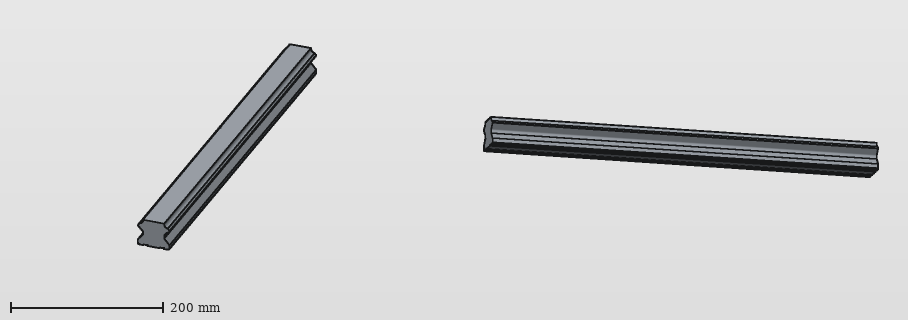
import cadquery as cq

rail_width = 45.0
rail_length = 525.0
rail_height = 38.0

head_half_width = 15.0
lip_height = 0.9
raceway_sag = 1.3
shoulder_half_width = 20.0
shoulder_height = 31.5
nose_height = 28.3
nose_flat = 0.6

waist_half_width = 15.0
waist_top_height = 20.5
waist_bottom_height = 15.8
waist_fillet = 2.5

foot_side_height = 7.2
foot_chamfer = 1.5

relief_inner_half_width = 9.0
relief_outer_half_width = 14.3
relief_depth = 1.0

half_width = rail_width / 2


def make_half_rail():
    """Half of the rail on the +X side of the centre plane, without relief grooves."""
    profile = (
        cq.Workplane("XZ")
        .lineTo(half_width - foot_chamfer, 0)
        .lineTo(half_width, foot_chamfer)
        .lineTo(half_width, foot_side_height)
        .lineTo(waist_half_width, waist_bottom_height)
        .lineTo(waist_half_width, waist_top_height)
        .lineTo(half_width, nose_height - nose_flat / 2)
        .lineTo(half_width, nose_height + nose_flat / 2)
        .lineTo(shoulder_half_width, shoulder_height)
        .sagittaArc((head_half_width, rail_height - lip_height), raceway_sag)
        .lineTo(head_half_width, rail_height)
        .lineTo(0, rail_height)
        .close()
    )
    body = profile.extrude(rail_length / 2, both=True)
    waist_corner = cq.selectors.NearestToPointSelector((waist_half_width, 0, waist_top_height))
    return body.edges("|Y").edges(waist_corner).fillet(waist_fillet)


def make_relief():
    """Cutter for the relief groove under the +X side of the foot."""
    relief_width = relief_outer_half_width - relief_inner_half_width
    cutter = cq.Workplane("XY").box(relief_width, rail_length, relief_depth, centered=(False, True, False))
    return cutter.translate((relief_inner_half_width, 0, 0))


half_rail = make_half_rail().cut(make_relief())
result = half_rail.union(half_rail.mirror("YZ")).clean()